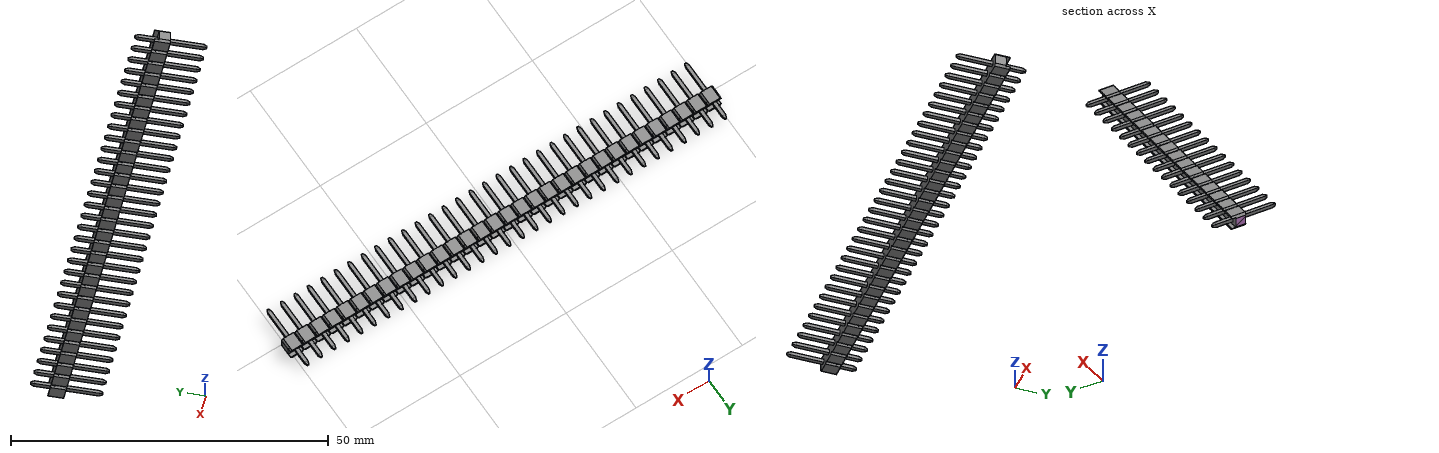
import cadquery as cq

pin_count = 32
pitch = 2.54

strip_length = pin_count * pitch
strip_depth = 2.54
strip_height = 2.5
cut_width = 0.3
cut_height = 0.4
channel_depth = 0.7
channel_height = 1.85

pin_width = 0.64
pin_length = 11.6
front_reach = 6.06
tip_length = 0.55
tip_width = 0.3
pin_offset = -0.1

strip_left = -strip_length / 2
strip_back = strip_depth / 2
half_height = strip_height / 2
neck_half_height = half_height - cut_height
pin_front = -strip_depth / 2 - front_reach
pin_back = pin_front + pin_length


def make_strip():
    """Row of octagonal cells, one pitch wide each, as a single extrusion along Y."""
    top_edge = [(strip_left, neck_half_height)]
    for i in range(pin_count):
        left = strip_left + i * pitch
        right = left + pitch
        top_edge.append((left + cut_width, half_height))
        top_edge.append((right - cut_width, half_height))
        top_edge.append((right, neck_half_height))
    bottom_edge = [(x, -z) for x, z in reversed(top_edge)]
    return (
        cq.Workplane("XZ")
        .polyline(top_edge + bottom_edge)
        .close()
        .extrude(strip_depth / 2, both=True)
    )


def make_channel():
    """Cutter for the channel that runs the whole length of the +Y face."""
    channel = cq.Workplane("XY").box(strip_length, channel_depth, channel_height)
    return channel.translate((0, strip_back - channel_depth / 2, 0))


def make_tip(end, direction):
    """Tapered pin tip whose small face lies at y = end; direction (+1 or -1) points outward."""
    base = cq.Plane(
        origin=(0, end - direction * tip_length, 0),
        xDir=(1, 0, 0),
        normal=(0, direction, 0),
    )
    return (
        cq.Workplane(base)
        .rect(pin_width, pin_width)
        .workplane(offset=tip_length)
        .rect(tip_width, tip_width)
        .loft(ruled=True)
    )


def make_pin():
    """Square pin with a tapered tip at both ends, at x = 0."""
    shank_length = pin_length - 2 * tip_length
    shank = cq.Workplane("XY").box(pin_width, shank_length, pin_width)
    shank = shank.translate((0, (pin_front + pin_back) / 2, 0))
    return shank.union(make_tip(pin_front, -1)).union(make_tip(pin_back, 1))


def make_pin_row():
    """List of all the pins, one per cell."""
    pin = make_pin().val()
    first_x = strip_left + pitch / 2 + pin_offset
    return [pin.translate(cq.Vector(first_x + i * pitch, 0, 0)) for i in range(pin_count)]


strip = make_strip().cut(make_channel())
header = strip.val().fuse(*make_pin_row())
result = cq.Workplane(header.Solids()[0])